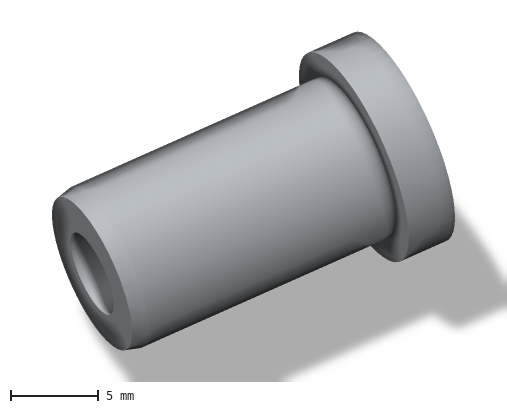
import cadquery as cq
import math

total_length = 20.0
head_diameter = 13.0
head_thickness = 3.0
shank_diameter = 10.0
bore_diameter = 5.1

tip_diameter = 9.5
taper_angle = 15.0
taper_length = (shank_diameter - tip_diameter) / 2 / math.tan(math.radians(taper_angle))

head_start = total_length - head_thickness

half_section = [
    (bore_diameter / 2, 0),
    (tip_diameter / 2, 0),
    (shank_diameter / 2, taper_length),
    (shank_diameter / 2, head_start),
    (head_diameter / 2, head_start),
    (head_diameter / 2, total_length),
    (bore_diameter / 2, total_length),
]

result = cq.Workplane("XY").polyline(half_section).close().revolve(360, (0, 0, 0), (0, 1, 0))